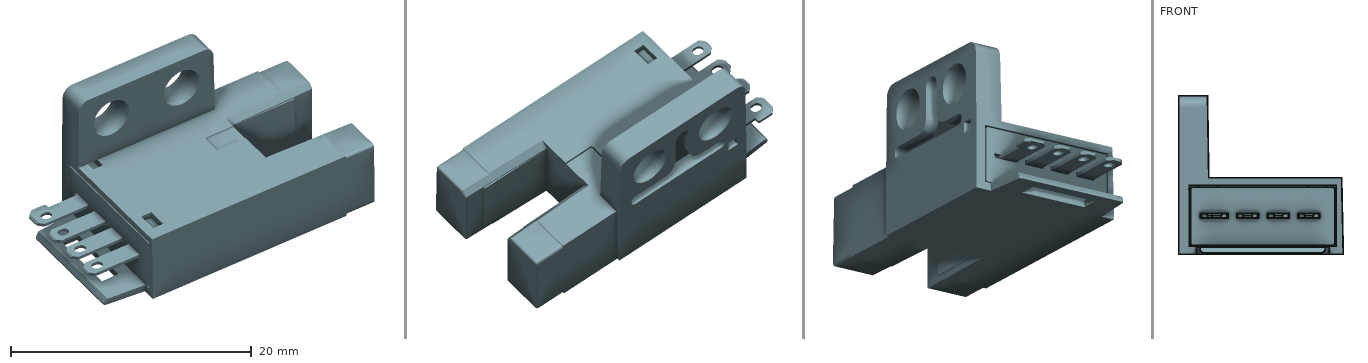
import cadquery as cq
import math

BODY_MID_X = 0.14
BODY_HALF_WIDTH = 6.7
BODY_DRAFT = 0.14
BODY_HEIGHT = 6.38
FORK_TIP_Y = 13.52
FRONT_Y = -8.68

SLOT_END_Y = 5.0
SLOT_END_HALF = 2.5
SLOT_MOUTH_HALF = 2.73
SLOT_CHAMFER = 0.55
TIP_STEP_Y = 10.63
TIP_STEP = 0.068
TIP_EDGE_FILLET = 0.27
TIP_END_FILLET = 0.2

FLANGE_X = -6.85
FLANGE_WIDTH = 2.52
FLANGE_HEIGHT = 13.2
FLANGE_BACK_Y = 4.92
FLANGE_FILLET = 1.0
FLANGE_DRAFT = 0.1
FLANGE_MID_Y = (FRONT_Y + FLANGE_BACK_Y) / 2
MOUNT_HOLE_DIAMETER = 3.52
MOUNT_HOLE_PITCH = 7.0
MOUNT_HOLE_Z = 10.22

RELIEF_DEPTH = 1.22
RELIEF_BAR_LENGTH = 10.05
RELIEF_BAR_SHIFT = 0.5
RELIEF_BAR_HEIGHT = 1.0
RELIEF_STEM_WIDTH = 1.57
RELIEF_TOP_Z = 11.98
RELIEF_CORNER_RADIUS = 1.27

CAVITY_HALF_WIDTH = 6.1
CAVITY_FLOOR_Z = 0.68
CAVITY_TOP_Z = 5.73
CAVITY_DEPTH = 2.7

WINDOW_FRONT_Y = -7.8
WINDOW_LENGTH = 1.0
WINDOW_WIDTH = 1.79
WINDOW_OFFSET_X = 4.52
WINDOW_FLOOR_Z = 5.4
LATCH_GAP = 0.1
LATCH_TOP_Z = 5.92
LATCH_RAMP_LENGTH = 0.3
LATCH_RAMP_RISE = 0.15

GUARD_ROOT_HALF = 5.52
GUARD_TIP_HALF = 5.17
GUARD_CORNER_FILLET = 0.22
GUARD_TIP_Y = -12.52
GUARD_TIP_TOP_Z = 0.6
GUARD_BEVEL_LENGTH = 0.32
GUARD_TIP_THICKNESS = 0.15
GUARD_WINDOW_HALF = 3.08
GUARD_WINDOW_FRONT_Y = -11.35
GUARD_WINDOW_BACK_Y = -9.75

BASE_GAP = 0.14
BASE_FLOOR_GAP = 0.08
BASE_CORNER_CHAMFER = 0.1

TERMINAL_COUNT = 4
TERMINAL_PITCH = 2.55
FIRST_TERMINAL_X = -3.65
TERMINAL_WIDTH = 1.62
TERMINAL_THICKNESS = 0.3
TERMINAL_MID_Z = 3.22
TERMINAL_TIP_Y = -13.52
TERMINAL_ROOT_Y = -7.3
TERMINAL_CORNER = 0.5
TERMINAL_TIP_BEVEL = 0.14
TERMINAL_EAR = 0.45
TERMINAL_EAR_Y = -11.6
EAR_FILLET = 0.15
EYE_WIDTH = 0.78
EYE_LENGTH = 1.0
EYE_Y = -12.33
MOUTH_GAP = 0.1
MOUTH_GAP_Z = 0.05
MOUTH_DEPTH = 0.55

LENS_TIP_Y = 11.58
LENS_TIP_HALF = 2.55
LENS_BOTTOM_Z = 0.6
LENS_TOP_Z = 5.73
LENS_BACK_HALF = 3.25

INDICATOR_WIDTH = 1.73
INDICATOR_LENGTH = 2.73
INDICATOR_THICKNESS = 0.55
INDICATOR_GAP = 0.08
INDICATOR_RECESS = 0.08


def block(x, y, z):
    """Box between the two limits given for each axis."""
    size = (x[1] - x[0], y[1] - y[0], z[1] - z[0])
    return cq.Workplane("XY").box(*size, centered=False).translate((x[0], y[0], z[0]))


def prism_along_x(points, x0, x1):
    """YZ outline extruded from x0 to x1."""
    return cq.Workplane("YZ").polyline(points).close().extrude(x1 - x0).translate((x0, 0, 0))


def prism_along_y(points, y0, y1):
    """XZ outline extruded from y0 to y1."""
    return cq.Workplane("XZ").polyline(points).close().extrude(y0 - y1).translate((0, y0, 0))


def prism_along_z(points, z0, z1):
    """XY outline extruded from z0 to z1."""
    return cq.Workplane("XY").polyline(points).close().extrude(z1 - z0).translate((0, 0, z0))


def from_middle(points):
    """Shift points measured from the symmetry plane to their place in X."""
    return [(BODY_MID_X + x, other) for x, other in points]


def side_by_side(half):
    """X limits at equal distances from the symmetry plane."""
    return (BODY_MID_X - half, BODY_MID_X + half)


def drafted_bar():
    """Full body section, narrower towards the top, from the front face to the fork tips."""
    top_half = BODY_HALF_WIDTH - BODY_DRAFT
    section = [
        (-BODY_HALF_WIDTH, 0),
        (BODY_HALF_WIDTH, 0),
        (top_half, BODY_HEIGHT),
        (-top_half, BODY_HEIGHT),
    ]
    return prism_along_y(from_middle(section), FRONT_Y, FORK_TIP_Y)


def forked_body():
    body = drafted_bar()
    slot = [
        (-SLOT_END_HALF, SLOT_END_Y),
        (SLOT_END_HALF, SLOT_END_Y),
        (SLOT_MOUTH_HALF, FORK_TIP_Y),
        (-SLOT_MOUTH_HALF, FORK_TIP_Y),
    ]
    body = body.cut(prism_along_z(from_middle(slot), 0, BODY_HEIGHT))
    slot_edges = cq.selectors.BoxSelector(
        (BODY_MID_X - SLOT_MOUTH_HALF, SLOT_END_Y + 0.27, BODY_HEIGHT - 0.27),
        (BODY_MID_X + SLOT_MOUTH_HALF, FORK_TIP_Y - 0.27, BODY_HEIGHT + 0.27),
    )
    body = body.edges(slot_edges).chamfer(SLOT_CHAMFER).cut(tip_relief())
    return body.faces(">Y").edges().fillet(TIP_END_FILLET)


def tip_relief():
    """Material taken off around the ends of both arms, leaving rounded outer edges."""
    surround = side_by_side(2 * BODY_HALF_WIDTH)
    lowered = block(surround, (FRONT_Y, FORK_TIP_Y), (TIP_STEP, BODY_HEIGHT - TIP_STEP))
    envelope = drafted_bar().intersect(lowered).edges("|Y").fillet(TIP_EDGE_FILLET)
    around_tips = block(surround, (TIP_STEP_Y, FORK_TIP_Y), (0, BODY_HEIGHT))
    return around_tips.cut(envelope)


def flange():
    side = [
        (FRONT_Y, 0),
        (FRONT_Y, BODY_HEIGHT),
        (FRONT_Y + FLANGE_DRAFT, FLANGE_HEIGHT),
        (FLANGE_BACK_Y - FLANGE_DRAFT, FLANGE_HEIGHT),
        (FLANGE_BACK_Y, BODY_HEIGHT),
        (FLANGE_BACK_Y, 0),
    ]
    inner_x = FLANGE_X + FLANGE_WIDTH
    front = [
        (FLANGE_X, 0),
        (inner_x, 0),
        (inner_x, BODY_HEIGHT),
        (inner_x - FLANGE_DRAFT, FLANGE_HEIGHT),
        (FLANGE_X, FLANGE_HEIGHT),
    ]
    plate = prism_along_x(side, FLANGE_X, inner_x)
    plate = plate.faces(">Z").edges("|X").fillet(FLANGE_FILLET)
    return plate.intersect(prism_along_y(front, FRONT_Y, FLANGE_BACK_Y))


def mount_holes():
    half_pitch = MOUNT_HOLE_PITCH / 2
    return (
        cq.Workplane("YZ", origin=(FLANGE_X, FLANGE_MID_Y, MOUNT_HOLE_Z))
        .pushPoints([(-half_pitch, 0), (half_pitch, 0)])
        .circle(MOUNT_HOLE_DIAMETER / 2)
        .extrude(FLANGE_WIDTH)
    )


def flange_relief():
    """Blind T: a round-ended bar with a round-topped stem."""
    bar_radius = RELIEF_BAR_HEIGHT / 2
    stem_half = RELIEF_STEM_WIDTH / 2
    bar_half = RELIEF_BAR_LENGTH / 2 - bar_radius
    bar_back = RELIEF_BAR_SHIFT + bar_half
    bar_front = RELIEF_BAR_SHIFT - bar_half
    stem_top = RELIEF_TOP_Z - BODY_HEIGHT - stem_half
    corner_end = stem_half + RELIEF_CORNER_RADIUS
    corner_top = RELIEF_BAR_HEIGHT + RELIEF_CORNER_RADIUS
    corner_inset = RELIEF_CORNER_RADIUS * (1 - math.cos(math.radians(45)))
    corner_mid_y = stem_half + corner_inset
    corner_mid_z = RELIEF_BAR_HEIGHT + corner_inset
    return (
        cq.Workplane("YZ", origin=(FLANGE_X, FLANGE_MID_Y, BODY_HEIGHT))
        .moveTo(bar_front, 0)
        .lineTo(bar_back, 0)
        .threePointArc((bar_back + bar_radius, bar_radius), (bar_back, RELIEF_BAR_HEIGHT))
        .lineTo(corner_end, RELIEF_BAR_HEIGHT)
        .threePointArc((corner_mid_y, corner_mid_z), (stem_half, corner_top))
        .lineTo(stem_half, stem_top)
        .threePointArc((0, stem_top + stem_half), (-stem_half, stem_top))
        .lineTo(-stem_half, corner_top)
        .threePointArc((-corner_mid_y, corner_mid_z), (-corner_end, RELIEF_BAR_HEIGHT))
        .lineTo(bar_front, RELIEF_BAR_HEIGHT)
        .threePointArc((bar_front - bar_radius, bar_radius), (bar_front, 0))
        .close()
        .extrude(RELIEF_DEPTH)
    )


def latch_windows():
    """Two openings in the top wall; the left one, below the flange, is open to the outer side."""
    y = (WINDOW_FRONT_Y, WINDOW_FRONT_Y + WINDOW_LENGTH)
    z = (WINDOW_FLOOR_Z, BODY_HEIGHT)
    near = WINDOW_OFFSET_X - WINDOW_WIDTH / 2
    far = WINDOW_OFFSET_X + WINDOW_WIDTH / 2
    right = block((BODY_MID_X + near, BODY_MID_X + far), y, z)
    left = block((FLANGE_X, BODY_MID_X - near), y, z)
    return right.union(left)


def guard_loop():
    side = [
        (FRONT_Y, 0),
        (FRONT_Y, CAVITY_FLOOR_Z),
        (GUARD_TIP_Y + GUARD_BEVEL_LENGTH, GUARD_TIP_TOP_Z),
        (GUARD_TIP_Y, GUARD_TIP_THICKNESS),
        (GUARD_TIP_Y, 0),
    ]
    plan = [
        (-GUARD_ROOT_HALF, FRONT_Y),
        (-GUARD_TIP_HALF, GUARD_TIP_Y),
        (GUARD_TIP_HALF, GUARD_TIP_Y),
        (GUARD_ROOT_HALF, FRONT_Y),
    ]
    outline = prism_along_z(from_middle(plan), 0, CAVITY_FLOOR_Z)
    outline = outline.faces("<Y").edges("|Z").fillet(GUARD_CORNER_FILLET)
    plate = prism_along_x(side, *side_by_side(GUARD_ROOT_HALF))
    plate = plate.intersect(outline)
    window = block(
        side_by_side(GUARD_WINDOW_HALF),
        (GUARD_WINDOW_FRONT_Y, GUARD_WINDOW_BACK_Y),
        (0, CAVITY_FLOOR_Z),
    )
    return plate.cut(window)


def indicator_box(gap, top_z):
    """Indicator window enlarged by a gap at its rear and right."""
    left = BODY_MID_X - INDICATOR_GAP - INDICATOR_WIDTH
    return block(
        (left, left + INDICATOR_WIDTH + gap),
        (SLOT_END_Y - INDICATOR_LENGTH - gap, SLOT_END_Y),
        (BODY_HEIGHT - INDICATOR_RECESS - INDICATOR_THICKNESS, top_z),
    )


def make_housing(lenses):
    cavity = block(
        side_by_side(CAVITY_HALF_WIDTH),
        (FRONT_Y, FRONT_Y + CAVITY_DEPTH),
        (CAVITY_FLOOR_Z, CAVITY_TOP_Z),
    )
    housing = (
        forked_body()
        .union(flange())
        .union(guard_loop())
        .cut(mount_holes())
        .cut(flange_relief())
        .cut(cavity)
        .cut(latch_windows())
        .cut(indicator_box(INDICATOR_GAP, BODY_HEIGHT))
    )
    for lens in lenses:
        housing = housing.cut(lens)
    return housing


def make_lens(side):
    """Light window let into the inner face of one arm; side is -1 for left, 1 for right."""
    plan = [
        (side * SLOT_END_HALF, SLOT_END_Y),
        (side * LENS_TIP_HALF, LENS_TIP_Y),
        (side * LENS_BACK_HALF, LENS_TIP_Y),
        (side * LENS_BACK_HALF, SLOT_END_Y),
    ]
    return prism_along_z(from_middle(plan), LENS_BOTTOM_Z, LENS_TOP_Z)


def make_indicator():
    return indicator_box(0, BODY_HEIGHT - INDICATOR_RECESS)


def make_terminal(index):
    """Flat tab with an eye; the first one widens outwards near its tip."""
    mid_x = FIRST_TERMINAL_X + index * TERMINAL_PITCH
    left = mid_x - TERMINAL_WIDTH / 2
    right = mid_x + TERMINAL_WIDTH / 2
    bottom = TERMINAL_MID_Z - TERMINAL_THICKNESS / 2
    top = bottom + TERMINAL_THICKNESS
    ear = TERMINAL_EAR if index == 0 else 0
    blade = block((left, right), (TERMINAL_TIP_Y, TERMINAL_ROOT_Y), (bottom, top))
    if ear:
        ear_block = block((left - ear, right), (TERMINAL_TIP_Y, TERMINAL_EAR_Y), (bottom, top))
        ear_block = ear_block.edges("|Z and <X and >Y").fillet(EAR_FILLET)
        blade = blade.union(ear_block)
    blade = blade.faces("<Y").edges("|Z").chamfer(TERMINAL_CORNER)
    blade = blade.faces("<Y").edges(">Z").chamfer(TERMINAL_TIP_BEVEL)
    eye = (
        cq.Workplane("XY", origin=(mid_x, EYE_Y, bottom))
        .slot2D(EYE_LENGTH, EYE_WIDTH, 90)
        .extrude(TERMINAL_THICKNESS)
    )
    return blade.cut(eye)


def terminal_mouth(index):
    """Clearance pocket where a terminal enters the base."""
    mid_x = FIRST_TERMINAL_X + index * TERMINAL_PITCH
    half = TERMINAL_WIDTH / 2 + MOUTH_GAP
    ear = TERMINAL_EAR if index == 0 else 0
    half_height = TERMINAL_THICKNESS / 2 + MOUTH_GAP_Z
    return block(
        (mid_x - half - ear, mid_x + half),
        (FRONT_Y, FRONT_Y + MOUTH_DEPTH),
        (TERMINAL_MID_Z - half_height, TERMINAL_MID_Z + half_height),
    )


def latch(side, base_top_z):
    """Ramped bump on top of the base that snaps into a latch window."""
    front = WINDOW_FRONT_Y + LATCH_GAP
    back = WINDOW_FRONT_Y + WINDOW_LENGTH - LATCH_GAP
    profile = [
        (front, base_top_z),
        (front, LATCH_TOP_Z),
        (back - LATCH_RAMP_LENGTH, LATCH_TOP_Z),
        (back, LATCH_TOP_Z - LATCH_RAMP_RISE),
        (back, base_top_z),
    ]
    mid_x = BODY_MID_X + side * WINDOW_OFFSET_X
    half = WINDOW_WIDTH / 2 - LATCH_GAP
    return prism_along_x(profile, mid_x - half, mid_x + half)


def make_base(terminals):
    top_z = CAVITY_TOP_Z - BASE_GAP
    base = block(
        side_by_side(CAVITY_HALF_WIDTH - BASE_GAP),
        (FRONT_Y, FRONT_Y + CAVITY_DEPTH),
        (CAVITY_FLOOR_Z + BASE_FLOOR_GAP, top_z),
    )
    base = base.edges("|Y").chamfer(BASE_CORNER_CHAMFER)
    for side in (-1, 1):
        base = base.union(latch(side, top_z))
    for index, terminal in enumerate(terminals):
        base = base.cut(terminal_mouth(index)).cut(terminal)
    return base


lenses = [make_lens(side) for side in (-1, 1)]
terminals = [make_terminal(index) for index in range(TERMINAL_COUNT)]
housing = make_housing(lenses)
base = make_base(terminals)
indicator = make_indicator()

bodies = [housing, base, indicator, *lenses, *terminals]
result = cq.Compound.makeCompound([body.solids().val() for body in bodies])